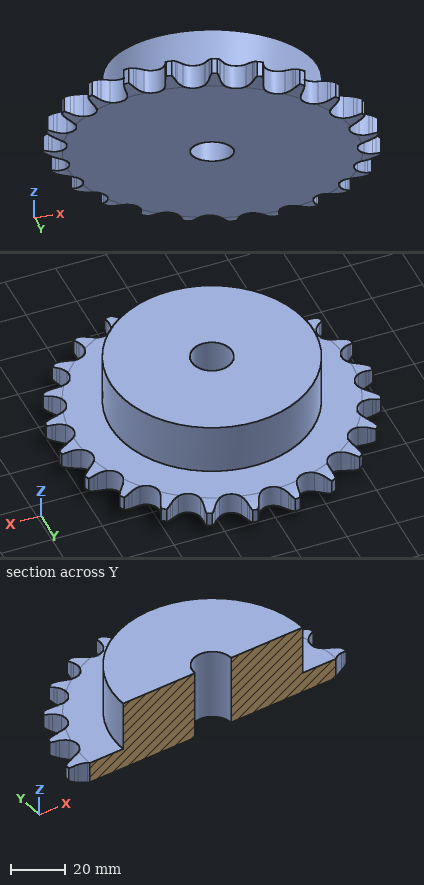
import cadquery as cq
import math

tooth_count = 23
chain_pitch = 15.875
roller_diameter = 10.16

tip_diameter = 123.5
plate_thickness = 9.1
side_relief_radius = 16.0
side_relief_length = 7.0
hub_diameter = 80.0
total_height = 30.0
bore_diameter = 16.0

half_tooth_angle = 180.0 / tooth_count
pitch_radius = chain_pitch / 2 / math.sin(math.radians(half_tooth_angle))
tip_radius = tip_diameter / 2
seating_clearance = 0.0635
seating_radius = roller_diameter / 2 + seating_clearance
seating_angle = 35 + 60 / tooth_count
working_angle = 18 - 56 / tooth_count
working_centre_distance = 0.8 * roller_diameter
working_radius = working_centre_distance + seating_radius
topping_centre_distance = 1.4 * roller_diameter
gap_overrun = 2.0


def polar(centre, radius, angle):
    """Point at a radius and an angle (degrees from +X) about a centre."""
    turn = math.radians(angle)
    return centre[0] + radius * math.cos(turn), centre[1] + radius * math.sin(turn)


def mirrored(point):
    """Point reflected across the Y axis."""
    return -point[0], point[1]


def make_gap():
    """Cutter for the gap between two teeth, centred on the +Y axis."""
    roller = (0, pitch_radius)
    seat_end = polar(roller, seating_radius, -seating_angle)
    seat_bottom = polar(roller, seating_radius, -90)

    flat_angle = working_angle - seating_angle
    working_centre = polar(roller, working_centre_distance, 180 - seating_angle)
    working_middle = polar(working_centre, working_radius, working_angle / 2 - seating_angle)
    flat_start = polar(working_centre, working_radius, flat_angle)

    topping_centre = polar(roller, topping_centre_distance, -half_tooth_angle)
    turn = math.radians(flat_angle)
    reach = (topping_centre[0] - flat_start[0], topping_centre[1] - flat_start[1])
    topping_radius = reach[0] * math.cos(turn) + reach[1] * math.sin(turn)
    flat_end = polar(topping_centre, topping_radius, 180 + flat_angle)
    overrun_height = tip_radius + gap_overrun - topping_centre[1]
    topping_end_angle = 180 - math.degrees(math.asin(overrun_height / topping_radius))
    topping_middle = polar(topping_centre, topping_radius, (180 + flat_angle + topping_end_angle) / 2)
    topping_end = polar(topping_centre, topping_radius, topping_end_angle)

    return (
        cq.Workplane("XY")
        .moveTo(*mirrored(topping_end))
        .threePointArc(mirrored(topping_middle), mirrored(flat_end))
        .lineTo(*mirrored(flat_start))
        .threePointArc(mirrored(working_middle), mirrored(seat_end))
        .threePointArc(seat_bottom, seat_end)
        .threePointArc(working_middle, flat_start)
        .lineTo(*flat_end)
        .threePointArc(topping_middle, topping_end)
        .close()
        .extrude(plate_thickness)
    )


def make_blank():
    """Toothless plate whose rim is relieved by an arc on both faces."""
    relief_start = tip_radius - side_relief_length
    middle_length = side_relief_length / 2

    def relief_drop(length):
        """Axial fall of the relief arc at a radial length beyond its start."""
        return side_relief_radius - math.sqrt(side_relief_radius**2 - length**2)

    tip_drop = relief_drop(side_relief_length)
    middle_drop = relief_drop(middle_length)
    middle_radius = relief_start + middle_length
    return (
        cq.Workplane("XZ")
        .lineTo(relief_start, 0)
        .threePointArc((middle_radius, middle_drop), (tip_radius, tip_drop))
        .lineTo(tip_radius, plate_thickness - tip_drop)
        .threePointArc((middle_radius, plate_thickness - middle_drop), (relief_start, plate_thickness))
        .lineTo(0, plate_thickness)
        .close()
        .revolve(360, (0, 0), (0, 1))
    )


def make_toothed_plate():
    """Plate with a gap centred on +Y, which puts a tooth on -Y."""
    plate = make_blank()
    gap = make_gap()
    for index in range(tooth_count):
        plate = plate.cut(gap.rotate((0, 0, 0), (0, 0, 1), index * 360 / tooth_count))
    return plate


def make_hub():
    """Plain hub, standing on the lower face and running up through the plate."""
    return cq.Workplane("XY").circle(hub_diameter / 2).extrude(total_height)


def make_bore():
    """Cutter for the through bore."""
    return cq.Workplane("XY").circle(bore_diameter / 2).extrude(total_height)


result = make_toothed_plate().union(make_hub()).cut(make_bore())